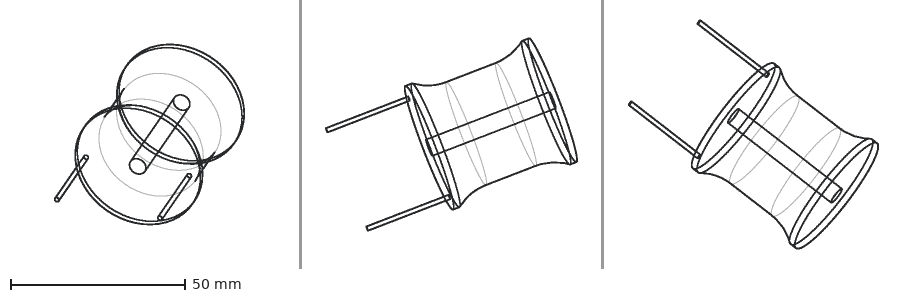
import cadquery as cq
import math

flange_diameter = 38.1
body_length = 38.1
flange_thickness = 2.0
waist_diameter = 31.75
waist_length = 15.35
bore_diameter = 5.0

pin_diameter = 1.35
pin_length = 25.4
pin_spacing = 31.4

flange_radius = flange_diameter / 2
waist_radius = waist_diameter / 2
waist_start = (body_length - waist_length) / 2
waist_end = waist_start + waist_length
far_flange_start = body_length - flange_thickness

flare_length = waist_start - flange_thickness
flare_rise = flange_radius - waist_radius
flare_radius = (flare_length**2 + flare_rise**2) / (2 * flare_rise)
flare_half_angle = math.asin(flare_length / flare_radius) / 2
mid_offset = flare_radius * math.sin(flare_half_angle)
mid_radius = waist_radius + flare_radius * (1 - math.cos(flare_half_angle))


def make_body():
    """Revolve the half profile about Y, then drill the through bore."""
    body = (
        cq.Workplane("XY")
        .lineTo(flange_radius, 0)
        .lineTo(flange_radius, flange_thickness)
        .threePointArc((mid_radius, waist_start - mid_offset), (waist_radius, waist_start))
        .lineTo(waist_radius, waist_end)
        .threePointArc((mid_radius, waist_end + mid_offset), (flange_radius, far_flange_start))
        .lineTo(flange_radius, body_length)
        .lineTo(0, body_length)
        .close()
        .revolve(360, (0, 0, 0), (0, 1, 0))
    )
    bore = cq.Workplane("XZ").circle(bore_diameter / 2).extrude(-body_length)
    return body.cut(bore)


def make_pins():
    """Two pins standing on the face at Y = 0 and pointing toward -Y."""
    return (
        cq.Workplane("XZ")
        .pushPoints([(-pin_spacing / 2, 0), (pin_spacing / 2, 0)])
        .circle(pin_diameter / 2)
        .extrude(pin_length)
    )


result = make_body().union(make_pins())